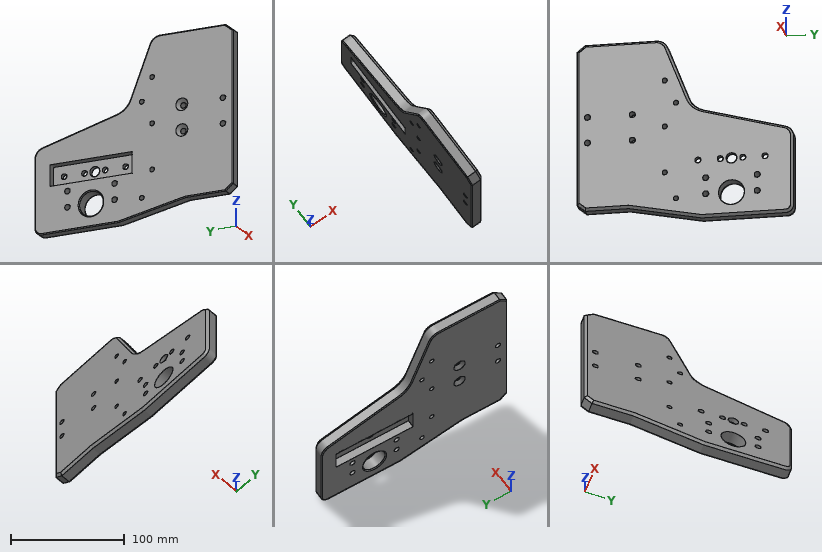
import cadquery as cq
thickness = 12.0
length = 193.2
height = 168.5

corner_cut_y = 7.3
corner_cut_z = 6.0
step_z = 13.1
slope_start_y = 46.2
slope_end_y = 111.3
peak_y = 78.2
valley_y = 103.5
valley_z = 103.5
low_corner_z = 79.0
low_corner_radius = 10.0
peak_radius = 11.0
bottom_radius = 7.0
valley_radius = 20.0
front_chamfer = 1.0
back_chamfer = 2.3

pocket_center_y = 138.1
pocket_center_z = 53.7
pocket_length = 80.0
pocket_width = 20.0
pocket_depth = 7.5
pocket_corner_radius = 1.0
pocket_bore_diameter = 9.5
pocket_hole_offsets = (-30.0, -10.0, 10.0, 30.0)

window_z = 21.6
window_diameter = 23.0
window_hole_offset_y = 23.0
window_hole_rise = 15.0

screw_diameter = 5.2
small_diameter = 4.5
mount_hole_z = (76.3, 100.3)
edge_mount_y = 9.7
inner_mount_y = 49.7
countersink_diameter = 11.5
countersink_half_angle = 45
countersink_depth = (countersink_diameter - screw_diameter) / 2
small_column_y = 78.6
small_column_z = (44.0, 87.1, 130.2)
small_pair_y = 88.7
small_pair_z = (19.1, 108.8)


def cylinders(points, diameter, depth=thickness):
    """Cutters along X that start at the front face."""
    return cq.Workplane("YZ").pushPoints(points).circle(diameter / 2).extrude(depth)


def corner(y, z):
    """Selector for the thickness edge that stands at the given outline corner."""
    return cq.selectors.NearestToPointSelector((thickness / 2, y, z))


def make_plate():
    outline = [
        (0, step_z + corner_cut_z),
        (corner_cut_y, step_z),
        (slope_start_y, step_z),
        (slope_end_y, 0),
        (length, 0),
        (length, low_corner_z),
        (valley_y, valley_z),
        (peak_y, height),
        (corner_cut_y, height),
        (0, height - corner_cut_z),
    ]
    plate = cq.Workplane("YZ").polyline(outline).close().extrude(thickness)
    plate = plate.edges(corner(length, 0)).fillet(bottom_radius)
    plate = plate.edges(corner(valley_y, valley_z)).fillet(valley_radius)
    plate = plate.edges(corner(length, low_corner_z)).fillet(low_corner_radius)
    plate = plate.edges(corner(peak_y, height)).fillet(peak_radius)
    plate = plate.faces(">X").edges().chamfer(back_chamfer)
    plate = plate.cut(cylinders([(pocket_center_y, window_z)], window_diameter))
    return plate.faces("<X").edges().chamfer(front_chamfer)


def make_pocket():
    pocket = (
        cq.Workplane("YZ")
        .center(pocket_center_y, pocket_center_z)
        .rect(pocket_length, pocket_width)
        .extrude(pocket_depth)
    )
    return pocket.faces(">Y").edges("|X").fillet(pocket_corner_radius)


def countersunk_holes(points):
    """Through-hole cutters that open into a cone at the front face."""
    cones = (
        cq.Workplane("YZ")
        .pushPoints(points)
        .circle(countersink_diameter / 2)
        .extrude(countersink_depth, taper=countersink_half_angle)
    )
    return cones.union(cylinders(points, screw_diameter))


pocket_holes = [(pocket_center_y + offset, pocket_center_z) for offset in pocket_hole_offsets]
window_holes = [
    (pocket_center_y + side * window_hole_offset_y, window_z + rise)
    for side in (-1, 1)
    for rise in (0, window_hole_rise)
]
inner_mount_holes = [(inner_mount_y, z) for z in mount_hole_z]
edge_mount_holes = [(edge_mount_y, z) for z in mount_hole_z]
small_holes = [(small_column_y, z) for z in small_column_z] + [(small_pair_y, z) for z in small_pair_z]

result = make_plate().cut(make_pocket())
result = result.cut(cylinders([(pocket_center_y, pocket_center_z)], pocket_bore_diameter))
result = result.cut(cylinders(pocket_holes + window_holes, screw_diameter))
result = result.cut(cylinders(edge_mount_holes, screw_diameter))
result = result.cut(countersunk_holes(inner_mount_holes))
result = result.cut(cylinders(small_holes, small_diameter))